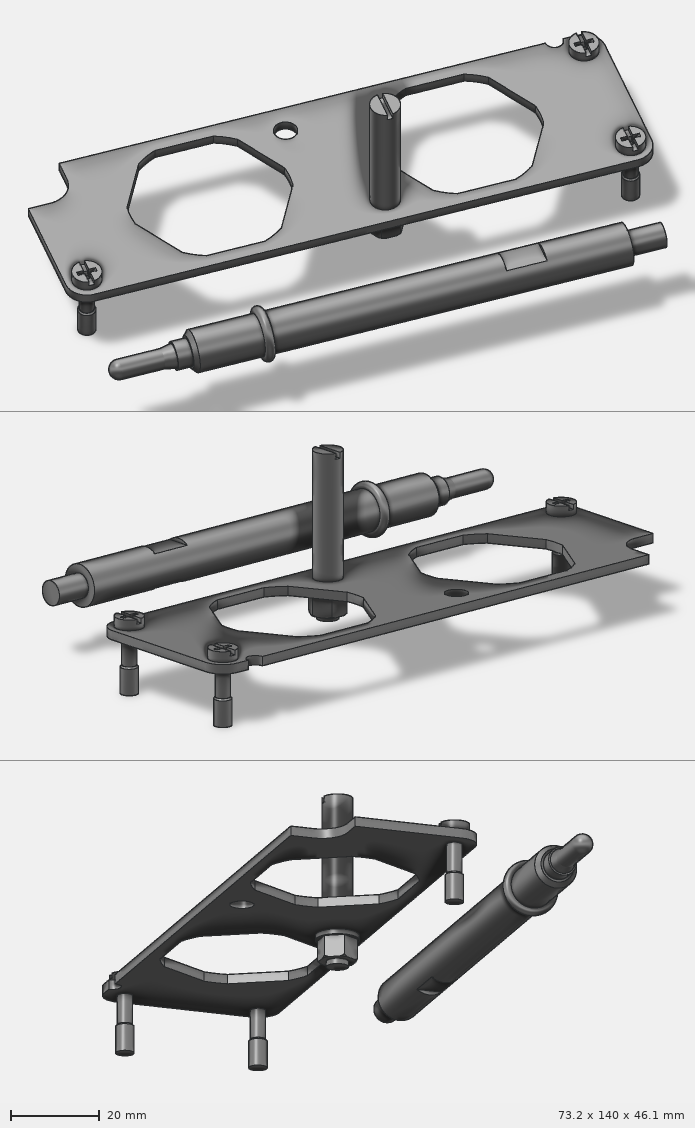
import cadquery as cq
import math

PLATE_W = 42.0
PLATE_L = 140.0
PLATE_T = 2.2
CORNER_R = 5.0

WINDOW_FLATS = 35.4
WINDOW_TRIM_D = 38.1
WINDOW_X = PLATE_W / 2
WINDOW_END_INSET = 40.0
WINDOW_YS = (WINDOW_END_INSET, PLATE_L - WINDOW_END_INSET)

SMALL_HOLE_D = 5.5
SMALL_HOLE_X = 7.0
SMALL_HOLE_Y = 63.0

EDGE_NOTCH_R = 2.1
EDGE_NOTCH_Y = 129.6

CORNER_CUT = 11.3
CORNER_CUT_R = 6.0

SCREW_INSET = 5.0
SCREW_POINTS = (
    (SCREW_INSET, PLATE_L - SCREW_INSET),
    (PLATE_W - SCREW_INSET, PLATE_L - SCREW_INSET),
    (PLATE_W - SCREW_INSET, SCREW_INSET),
)
HEAD_D = 6.9
HEAD_H = 2.5
SHANK_D = 3.5
SHANK_END_Z = -6.9
THREAD_D = 4.2
THREAD_CHAMFER = 0.4
SCREW_END_Z = -13.6
CROSS_LENGTH = 4.5
CROSS_FLOOR_LENGTH = 0.8
CROSS_WIDTH = 1.0
CROSS_DEPTH = 2.0

SLOT_W = 1.3
HEAD_SLOT_DEPTH = 1.1
POST_SLOT_DEPTH = 1.4

POST_X = 35.0
POST_Y = 77.0
POST_D = 7.0
POST_TOP_Z = 32.5
STUD_D = 5.0
STUD_END_Z = -7.4
FLANGE_D = 10.0
FLANGE_T = 1.1
NUT_FLATS = 8.0
NUT_END_Z = -6.2
NUT_CHAMFER = 0.4

OVERALL_W = 73.2
PROBE_Z = 2.5
TIP_R = 2.4
TIP_END_Y = 12.6
CONE_R = 3.0
NECK_START_Y = 15.4
NECK_R = 3.4
BARREL_START_Y = 18.9
BARREL_R = 5.0
BARREL_CHAMFER = 1.1
COLLAR_Y = 36.7
COLLAR_HALF_W = 1.1
COLLAR_D = 13.0
COLLAR_R = COLLAR_D / 2
PROBE_X = OVERALL_W - COLLAR_R
BARREL_END_Y = 123.6
TAIL_R = 3.0
TAIL_END_Y = 132.3
FLAT_START_Y = 94.0
FLAT_END_Y = 103.6
FLAT_OFFSET = 4.0


def disc(x, y, diameter, z_low, z_high):
    """Vertical cylinder between two heights."""
    base = cq.Workplane("XY", origin=(x, y, z_low))
    return base.circle(diameter / 2).extrude(z_high - z_low)


def across_corners(flats):
    """Corner-to-corner width of a regular hexagon, from its width across flats."""
    return flats / math.cos(math.pi / 6)


def hexagon(x, y, flats, z_low, z_high):
    """Vertical hexagonal prism with two corners pointing along Y."""
    base = cq.Workplane("XY", origin=(x, y, z_low))
    return base.transformed(rotate=(0, 0, 90)).polygon(6, across_corners(flats)).extrude(z_high - z_low)


def driver_slot(x, y, length, depth, top_z):
    """Cutter for a straight slot along X."""
    return cq.Workplane("XY", origin=(x, y, top_z)).box(length, SLOT_W, 2 * depth)


def window_cutter(y):
    prism = hexagon(WINDOW_X, y, WINDOW_FLATS, 0, PLATE_T)
    return prism.intersect(disc(WINDOW_X, y, WINDOW_TRIM_D, 0, PLATE_T))


def make_plate():
    plate = cq.Workplane("XY").box(PLATE_W, PLATE_L, PLATE_T, centered=False)
    plate = plate.edges("|Z and (>X or >Y)").fillet(CORNER_R)

    corner_cut = cq.Workplane("XY").box(CORNER_CUT, CORNER_CUT, PLATE_T, centered=False)
    corner_cut = corner_cut.edges("|Z and >X and >Y").fillet(CORNER_CUT_R)
    plate = plate.cut(corner_cut)

    for y in WINDOW_YS:
        plate = plate.cut(window_cutter(y))
    plate = plate.cut(disc(SMALL_HOLE_X, SMALL_HOLE_Y, SMALL_HOLE_D, 0, PLATE_T))
    return plate.cut(disc(0, EDGE_NOTCH_Y, 2 * EDGE_NOTCH_R, 0, PLATE_T))


def cross_recess(x, y, top_z):
    """Cutter for a cross of two tapered blades."""
    blade = (
        cq.Workplane("XZ")
        .polyline([
            (-CROSS_LENGTH / 2, 0),
            (CROSS_LENGTH / 2, 0),
            (CROSS_FLOOR_LENGTH / 2, -CROSS_DEPTH),
            (-CROSS_FLOOR_LENGTH / 2, -CROSS_DEPTH),
        ])
        .close()
        .extrude(CROSS_WIDTH / 2, both=True)
    )
    crossing_blade = blade.rotate((0, 0, 0), (0, 0, 1), 90)
    return blade.union(crossing_blade).translate((x, y, top_z))


def add_screw(plate, x, y):
    head_top_z = PLATE_T + HEAD_H
    thread = disc(x, y, THREAD_D, SCREW_END_Z, SHANK_END_Z).faces(">Z").chamfer(THREAD_CHAMFER)
    plate = plate.union(disc(x, y, HEAD_D, PLATE_T, head_top_z))
    plate = plate.union(disc(x, y, SHANK_D, SHANK_END_Z, 0))
    plate = plate.union(thread)
    plate = plate.cut(driver_slot(x, y, HEAD_D, HEAD_SLOT_DEPTH, head_top_z))
    return plate.cut(cross_recess(x, y, head_top_z))


def add_post(plate):
    post = disc(POST_X, POST_Y, POST_D, PLATE_T, POST_TOP_Z)
    post = post.cut(driver_slot(POST_X, POST_Y, POST_D, POST_SLOT_DEPTH, POST_TOP_Z))

    nut = hexagon(POST_X, POST_Y, NUT_FLATS, NUT_END_Z, -FLANGE_T)
    nut_round = disc(POST_X, POST_Y, across_corners(NUT_FLATS), NUT_END_Z, -FLANGE_T)
    nut = nut.intersect(nut_round.faces("<Z").chamfer(NUT_CHAMFER))

    plate = plate.union(post)
    plate = plate.union(disc(POST_X, POST_Y, FLANGE_D, -FLANGE_T, 0))
    plate = plate.union(nut)
    return plate.union(disc(POST_X, POST_Y, STUD_D, STUD_END_Z, NUT_END_Z))


def make_cover():
    """Plate carrying its screws and post as one piece."""
    cover = make_plate()
    for x, y in SCREW_POINTS:
        cover = add_screw(cover, x, y)
    return add_post(cover)


def make_probe():
    dome_mid = (TIP_R * math.sin(math.pi / 4), TIP_R * (1 - math.cos(math.pi / 4)))
    rod = (
        cq.Workplane("XY")
        .moveTo(0, 0)
        .threePointArc(dome_mid, (TIP_R, TIP_R))
        .lineTo(TIP_R, TIP_END_Y)
        .lineTo(CONE_R, NECK_START_Y)
        .lineTo(NECK_R, NECK_START_Y)
        .lineTo(NECK_R, BARREL_START_Y)
        .lineTo(BARREL_R - BARREL_CHAMFER, BARREL_START_Y)
        .lineTo(BARREL_R, BARREL_START_Y + BARREL_CHAMFER)
        .lineTo(BARREL_R, BARREL_END_Y)
        .lineTo(TAIL_R, BARREL_END_Y)
        .lineTo(TAIL_R, TAIL_END_Y)
        .lineTo(0, TAIL_END_Y)
        .close()
        .revolve(360, (0, 0, 0), (0, 1, 0))
    )

    rim_r = COLLAR_R - COLLAR_HALF_W
    collar = (
        cq.Workplane("XY")
        .moveTo(0, COLLAR_Y - COLLAR_HALF_W)
        .lineTo(rim_r, COLLAR_Y - COLLAR_HALF_W)
        .threePointArc((COLLAR_R, COLLAR_Y), (rim_r, COLLAR_Y + COLLAR_HALF_W))
        .lineTo(0, COLLAR_Y + COLLAR_HALF_W)
        .close()
        .revolve(360, (0, 0, 0), (0, 1, 0))
    )
    rod = rod.union(collar)

    flat_depth = BARREL_R - FLAT_OFFSET
    flat_mid_y = (FLAT_START_Y + FLAT_END_Y) / 2
    flat_mid_z = FLAT_OFFSET + flat_depth / 2
    for side in (-1, 1):
        flat = cq.Workplane("XY", origin=(0, flat_mid_y, side * flat_mid_z))
        rod = rod.cut(flat.box(2 * BARREL_R, FLAT_END_Y - FLAT_START_Y, flat_depth))
    return rod.translate((PROBE_X, 0, PROBE_Z))


cover = make_cover()
probe = make_probe()
result = cq.Compound.makeCompound([cover.val(), probe.val()])